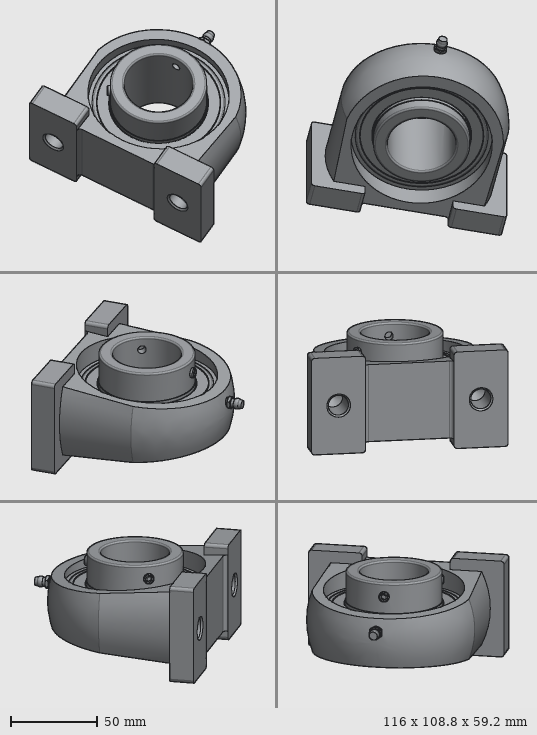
import cadquery as cq
import math

sphere_radius = 50.8
side_radius = 49.9
half_thickness = 19.0
draft_angle = 5.0

base_y = -49.2
overall_width = 116.0
foot_width = 31.9
foot_depth = 14.3
foot_height = 58.0
foot_edge_fillet = 2.0
relief_depth = 2.4
relief_fillet = 2.2
gap_half_width = overall_width / 2 - foot_width

bolt_spacing = 84.0
bolt_hole_diameter = 11.8
bolt_mouth_diameter = 13.9
bolt_hole_depth = 20.0
bolt_mouth_depth = (bolt_mouth_diameter - bolt_hole_diameter) / 2
drill_half_angle = 59.0

seat_radius = 40.0
recess_diameter = 82.0
outer_ring_half_width = 10.5

bore_diameter = 40.0
collar_diameter = 56.0
collar_top = 30.2
collar_bottom = -half_thickness
collar_fillet = 1.0
ring_edge_fillet = 1.0
shoulder_diameter = 56.8
shoulder_top = 12.1
seal_outer_radius = 36.1
seal_inner_radius = 29.0
seal_slit_width = 0.3
seal_slit_depth = 0.3
shoulder_slit_depth = 0.8

screw_diameter = 6.0
screw_tip_diameter = 4.9
screw_z = 22.2
screw_inner_end = 25.5
screw_outer_end = 29.9
screw_bore_diameter = 4.9
screw_angles = (90.0, 210.0)
socket_across_flats = 3.0
socket_depth = 2.3

nipple_z = 7.2
nipple_tip_y = 59.6
nipple_tip_diameter = 4.9
nipple_head_diameter = 6.5
nipple_head_end_diameter = 5.6
nipple_neck_diameter = 5.3
nipple_shank_diameter = 5.6
head_front_y = 57.8
head_back_y = 54.9
hex_front_y = 53.1
hex_back_y = 51.0
shank_end_y = 44.1
hex_across_flats = 7.0
hex_chamfer = 0.6


def hexagon_prism(plane, across_flats, length):
    """Hexagonal prism along the plane normal, two corners on the plane's local X axis."""
    across_corners = across_flats / math.cos(math.radians(30))
    return cq.Workplane(plane).polygon(6, across_corners).extrude(length)


def make_rounded_body():
    """Sphere cap joined to a cylinder that runs along Y down to the mounting plane."""
    blend_y = math.sqrt(sphere_radius**2 - side_radius**2)
    arc_angle = (math.asin(blend_y / sphere_radius) + math.pi / 2) / 2
    arc_middle = (sphere_radius * math.cos(arc_angle), sphere_radius * math.sin(arc_angle))
    return (
        cq.Workplane("XY")
        .moveTo(0, base_y)
        .lineTo(side_radius, base_y)
        .lineTo(side_radius, blend_y)
        .threePointArc(arc_middle, (0, sphere_radius))
        .close()
        .revolve(360, (0, 0, 0), (0, 1, 0))
    )


def make_tapered_slab():
    """Wedge whose thickness grows towards the mounting plane."""
    slope = math.tan(math.radians(draft_angle))
    base_half = half_thickness - base_y * slope
    top_half = half_thickness - sphere_radius * slope
    return (
        cq.Workplane("YZ")
        .polyline([
            (base_y, -base_half),
            (sphere_radius, -top_half),
            (sphere_radius, top_half),
            (base_y, base_half),
        ])
        .close()
        .extrude(side_radius, both=True)
    )


def make_relief():
    """Cutter that sets the middle of the base back, with rounded inner corners."""
    return (
        cq.Workplane("XY")
        .box(2 * gap_half_width, 2 * relief_depth, foot_height)
        .edges("|Z and >Y")
        .fillet(relief_fillet)
        .translate((0, base_y, 0))
    )


def make_foot(side):
    return (
        cq.Workplane("XY")
        .box(foot_width, foot_depth, foot_height)
        .edges("|Y")
        .fillet(foot_edge_fillet)
        .translate((side * (overall_width - foot_width) / 2, base_y + foot_depth / 2, 0))
    )


def make_bolt_hole(side):
    """Blind hole along Y with a chamfered mouth and a conical drill point."""
    hole_radius = bolt_hole_diameter / 2
    point_length = hole_radius / math.tan(math.radians(drill_half_angle))
    return (
        cq.Workplane("XY")
        .polyline([
            (0, 0),
            (bolt_mouth_diameter / 2, 0),
            (hole_radius, bolt_mouth_depth),
            (hole_radius, bolt_hole_depth),
            (0, bolt_hole_depth + point_length),
        ])
        .close()
        .revolve(360, (0, 0, 0), (0, 1, 0))
        .translate((side * bolt_spacing / 2, base_y, 0))
    )


def make_bearing_opening():
    """Spherical seat with a cylindrical recess on each face."""
    recess = cq.Workplane("XY").circle(recess_diameter / 2).extrude(foot_height / 2)
    upper_recess = recess.translate((0, 0, outer_ring_half_width))
    lower_recess = upper_recess.mirror("XY")
    return cq.Workplane("XY").sphere(seat_radius).union(upper_recess).union(lower_recess)


def make_nipple_hole():
    return (
        cq.Workplane("XZ", origin=(0, shank_end_y, nipple_z))
        .circle(nipple_shank_diameter / 2)
        .extrude(shank_end_y - nipple_tip_y)
    )


def make_housing():
    body = make_rounded_body().intersect(make_tapered_slab()).cut(make_relief())
    for side in (-1, 1):
        body = body.union(make_foot(side))
    for side in (-1, 1):
        body = body.cut(make_bolt_hole(side))
    return body.cut(make_bearing_opening()).cut(make_nipple_hole())


def make_outer_ring():
    """Spherical outer ring, filled through to the axis, with rounded edges."""
    slab = cq.Workplane("XY").box(2 * seat_radius, 2 * seat_radius, 2 * outer_ring_half_width)
    ring = cq.Workplane("XY").sphere(seat_radius).intersect(slab)
    return ring.faces("|Z").edges().fillet(ring_edge_fillet)


def make_ring_slit(outer_radius, inner_radius, depth):
    """Annular cutter that reaches down from the upper face of the outer ring."""
    return (
        cq.Workplane("XY", origin=(0, 0, outer_ring_half_width - depth))
        .circle(outer_radius)
        .circle(inner_radius)
        .extrude(depth)
    )


def make_collar():
    return (
        cq.Workplane("XY", origin=(0, 0, collar_bottom))
        .circle(collar_diameter / 2)
        .circle(bore_diameter / 2)
        .extrude(collar_top - collar_bottom)
        .faces("|Z")
        .edges()
        .fillet(collar_fillet)
    )


def make_shoulder():
    return (
        cq.Workplane("XY")
        .circle(shoulder_diameter / 2)
        .circle(bore_diameter / 2)
        .extrude(shoulder_top, both=True)
    )


def make_screw():
    """Set screw along +X with a chamfered outer end and a hexagon socket."""
    chamfer = (screw_diameter - screw_tip_diameter) / 2
    shank = (
        cq.Workplane("YZ", origin=(screw_inner_end, 0, screw_z))
        .circle(screw_diameter / 2)
        .extrude(screw_outer_end - screw_inner_end)
        .faces(">X")
        .chamfer(chamfer)
    )
    socket_plane = cq.Plane(origin=(screw_outer_end - socket_depth, 0, screw_z), normal=(1, 0, 0))
    return shank.cut(hexagon_prism(socket_plane, socket_across_flats, socket_depth))


def make_screw_bore():
    """Radial hole along +X from the shaft bore to the inner end of a screw."""
    return (
        cq.Workplane("YZ", origin=(0, 0, screw_z))
        .circle(screw_bore_diameter / 2)
        .extrude(screw_inner_end)
    )


def make_insert():
    """Bearing insert: outer ring, seals, shoulder, collar and its two set screws."""
    shaft_bore = (
        cq.Workplane("XY", origin=(0, 0, -outer_ring_half_width))
        .circle(bore_diameter / 2)
        .extrude(2 * outer_ring_half_width)
    )
    seal_slit = make_ring_slit(seal_outer_radius, seal_outer_radius - seal_slit_width, seal_slit_depth)
    shoulder_slit = make_ring_slit(seal_inner_radius, shoulder_diameter / 2, shoulder_slit_depth)
    insert = make_outer_ring().cut(shaft_bore).union(make_shoulder()).union(make_collar())
    for slit in (seal_slit, shoulder_slit):
        insert = insert.cut(slit).cut(slit.mirror("XY"))
    for angle in screw_angles:
        insert = insert.cut(make_screw_bore().rotate((0, 0, 0), (0, 0, 1), angle))
        insert = insert.union(make_screw().rotate((0, 0, 0), (0, 0, 1), angle))
    return insert


def make_nipple():
    """Grease nipple along +Y: shank, hexagon, neck, rounded head and tip."""
    turned = (
        cq.Workplane("XY")
        .moveTo(0, shank_end_y)
        .lineTo(nipple_shank_diameter / 2, shank_end_y)
        .lineTo(nipple_shank_diameter / 2, hex_front_y)
        .lineTo(nipple_neck_diameter / 2, hex_front_y)
        .lineTo(nipple_neck_diameter / 2, head_back_y)
        .lineTo(nipple_head_end_diameter / 2, head_back_y)
        .threePointArc(
            (nipple_head_diameter / 2, (head_back_y + head_front_y) / 2),
            (nipple_head_end_diameter / 2, head_front_y),
        )
        .lineTo(nipple_tip_diameter / 2, nipple_tip_y)
        .lineTo(0, nipple_tip_y)
        .close()
        .revolve(360, (0, 0, 0), (0, 1, 0))
    )
    hex_length = hex_front_y - hex_back_y
    corner_radius = hex_across_flats / 2 / math.cos(math.radians(30))
    envelope = (
        cq.Workplane("XZ")
        .circle(corner_radius)
        .extrude(-hex_length)
        .faces("|Y")
        .chamfer(hex_chamfer)
    )
    hex_plane = cq.Plane(origin=(0, 0, 0), xDir=(0, 0, 1), normal=(0, 1, 0))
    hexagon = hexagon_prism(hex_plane, hex_across_flats, hex_length).intersect(envelope)
    return turned.union(hexagon.translate((0, hex_back_y, 0))).translate((0, 0, nipple_z))


housing = make_housing()
insert = make_insert()
nipple = make_nipple()

result = cq.Compound.makeCompound([housing.val(), insert.val(), nipple.val()])